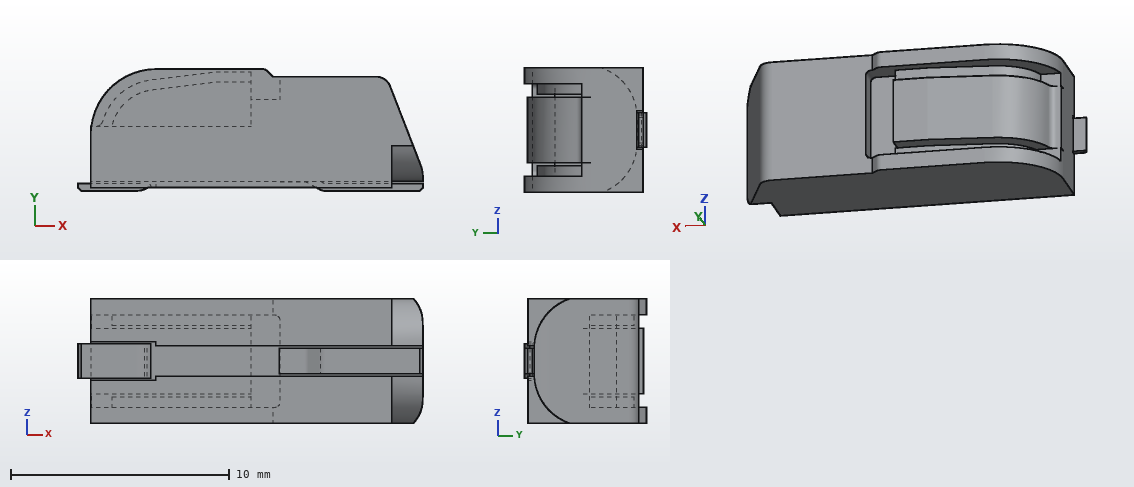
import cadquery as cq
import math

total_length = 15.8
housing_start = 0.58
housing_width = 5.7
housing_height = 5.44
step_height = 5.09
step_top_x = 8.58
corner_radius = 3.02
step_radius = 0.33
shoulder_x = 14.13
slope_foot_y = 0.76
shoulder_radius = 0.71
nose_blend_radius = 1.604

nose_start = 14.38
nose_front = 0.28
nose_radius = 2.42
nose_axis_y = nose_front + nose_radius
nose_flat_width = 1.14

groove_depth = 0.3
groove_width = 1.37
wide_groove_width = 1.79
wide_groove_end = 3.57

strip_thickness = 0.35
strip_front = -0.16
strip_back = strip_front + strip_thickness
tip_chamfer = 0.16
wide_strip_width = 1.6
wide_strip_bend_x = 2.67
wide_strip_bend_radius = 1.0
wide_strip_bend_angle = math.radians(42)
narrow_strip_width = 1.18
narrow_strip_start = 9.23
inner_strip_front = 0.27
upper_bend_x = 10.46
lower_bend_x = 11.19
upper_bend_radius = 0.32
lower_bend_radius = 0.54

pocket_width = 4.23
pocket_floor = 2.81
pocket_ledge = 4.05
ledge_start = 7.9
pocket_end = 9.25
pocket_corner_radius = 0.25
pivot_x = 3.65
pivot_y = 2.34
ramp_rise = 0.36
ramp_angle = math.radians(7)
lever_width = 3.0
lever_radius = 2.62
lever_foot_radius = 0.35
arm_radius = 2.16
arm_gap = 0.15
arm_width = (pocket_width - lever_width) / 2 - arm_gap


def slab(profile, width):
    """Extrude an XY profile symmetrically about Z = 0."""
    return profile.extrude(width / 2, both=True)


def block(x_min, x_max, y_min, y_max, width):
    """Box centred on Z = 0."""
    size = (x_max - x_min, y_max - y_min, width)
    return cq.Workplane("XY").box(*size, centered=(False, False, True)).translate((x_min, y_min, 0))


def rounded_prism(corners, width):
    """Prism from (x, y, radius) corners; a radius of zero leaves the corner sharp."""
    prism = slab(cq.Workplane("XY").polyline([(x, y) for x, y, _ in corners]).close(), width)
    for x, y, radius in corners:
        if radius > 0:
            prism = prism.edges("|Z").edges(cq.NearestToPointSelector((x, y, 0))).fillet(radius)
    return prism


def housing_body():
    step_foot_x = step_top_x + housing_height - step_height
    return rounded_prism(
        [
            (housing_start, 0, 0),
            (total_length, 0, 0),
            (total_length, slope_foot_y, nose_blend_radius),
            (shoulder_x, step_height, shoulder_radius),
            (step_foot_x, step_height, 0),
            (step_top_x, housing_height, step_radius),
            (housing_start, housing_height, corner_radius),
        ],
        housing_width,
    )


def nose_waste():
    """Material outside the rounded nose section, below the axes of its two rounds."""
    core = (
        cq.Workplane("YZ", origin=(nose_start, 0, 0))
        .center(nose_axis_y, 0)
        .slot2D(nose_flat_width + 2 * nose_radius, 2 * nose_radius, 90)
        .extrude(total_length - nose_start)
    )
    return block(nose_start, total_length, 0, nose_axis_y, housing_width).cut(core)


def terminal_groove():
    wide = block(housing_start, wide_groove_end, 0, groove_depth, wide_groove_width)
    return wide.union(block(housing_start, total_length, 0, groove_depth, groove_width))


def pocket():
    lower = block(housing_start, ledge_start, pocket_floor, housing_height, pocket_width)
    upper = block(housing_start, pocket_end, pocket_ledge, housing_height, pocket_width)
    upper = upper.edges("|Y and >X").fillet(pocket_corner_radius)
    return lower.union(upper)


def rocker_nose_x(radius):
    """Where the round nose of a rocker meets the pocket floor."""
    return pivot_x - math.sqrt(radius**2 - (pocket_floor - pivot_y) ** 2)


def rocker(radius, width):
    """Bar with a round nose about the pivot, then a tangent ramp up to a flat top."""
    middle_angle = math.radians(135)
    ramp_x = pivot_x - radius * math.sin(ramp_angle)
    ramp_y = pivot_y + radius * math.cos(ramp_angle)
    top_y = ramp_y + ramp_rise
    profile = (
        cq.Workplane("XY")
        .moveTo(rocker_nose_x(radius), pocket_floor)
        .threePointArc(
            (pivot_x + radius * math.cos(middle_angle), pivot_y + radius * math.sin(middle_angle)),
            (ramp_x, ramp_y),
        )
        .lineTo(ramp_x + ramp_rise / math.tan(ramp_angle), top_y)
        .lineTo(ledge_start, top_y)
        .lineTo(ledge_start, pocket_floor)
        .close()
    )
    return slab(profile, width)


def lever():
    """Central rocker on a square-ended seat, with a hollow blend where its nose meets the seat."""
    seat = block(housing_start, ledge_start, groove_depth, pocket_floor, lever_width)
    nose_edge = (rocker_nose_x(lever_radius), pocket_floor, 0)
    bar = seat.union(rocker(lever_radius, lever_width))
    return bar.edges(cq.NearestToPointSelector(nose_edge)).fillet(lever_foot_radius)


def wide_terminal():
    """Flat strip past the -X end whose other end bends into the groove floor."""
    bend_y = strip_front + wide_strip_bend_radius
    inner_radius = wide_strip_bend_radius - strip_thickness

    def bend_point(radius, angle):
        return wide_strip_bend_x + radius * math.sin(angle), bend_y - radius * math.cos(angle)

    half_angle = wide_strip_bend_angle / 2
    profile = (
        cq.Workplane("XY")
        .moveTo(0, strip_back)
        .lineTo(0, strip_front + tip_chamfer)
        .lineTo(tip_chamfer, strip_front)
        .lineTo(wide_strip_bend_x, strip_front)
        .threePointArc(
            bend_point(wide_strip_bend_radius, half_angle),
            bend_point(wide_strip_bend_radius, wide_strip_bend_angle),
        )
        .lineTo(*bend_point(inner_radius, wide_strip_bend_angle))
        .threePointArc(bend_point(inner_radius, half_angle), (wide_strip_bend_x, strip_back))
        .close()
    )
    return slab(profile, wide_strip_width)


def narrow_terminal():
    """Strip with a double bend, from inside the groove floor out to the +X end."""
    slope = math.atan2(inner_strip_front - strip_front, lower_bend_x - upper_bend_x)
    back_shift = strip_thickness * math.tan(slope / 2)
    inner_strip_back = inner_strip_front + strip_thickness
    return rounded_prism(
        [
            (narrow_strip_start, inner_strip_front, 0),
            (upper_bend_x, inner_strip_front, upper_bend_radius),
            (lower_bend_x, strip_front, lower_bend_radius),
            (total_length - tip_chamfer, strip_front, 0),
            (total_length, strip_front + tip_chamfer, 0),
            (total_length, strip_back, 0),
            (lower_bend_x + back_shift, strip_back, lower_bend_radius - strip_thickness),
            (upper_bend_x + back_shift, inner_strip_back, upper_bend_radius + strip_thickness),
            (narrow_strip_start, inner_strip_back, 0),
        ],
        narrow_strip_width,
    )


housing = housing_body().cut(nose_waste()).cut(pocket()).cut(terminal_groove())
housing = housing.union(lever())
for side in (-1, 1):
    arm_z = side * (pocket_width - arm_width) / 2
    housing = housing.union(rocker(arm_radius, arm_width).translate((0, 0, arm_z)))

result = housing.union(wide_terminal()).union(narrow_terminal())